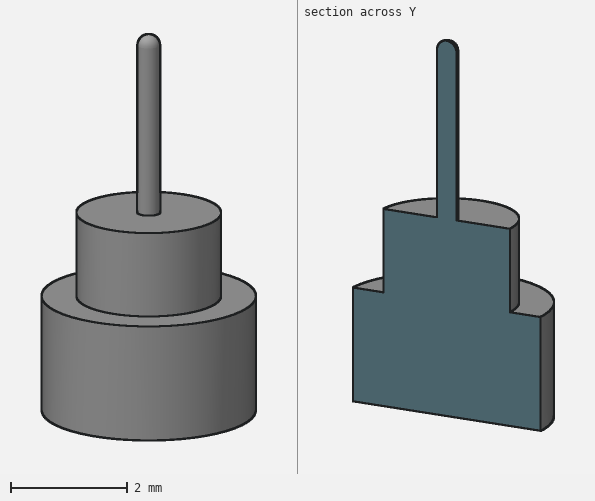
import cadquery as cq

total_height = 6.75
base_diameter = 3.7
base_height = 2.05
collar_diameter = 2.5
collar_height = 1.5
pin_diameter = 0.4

pin_radius = pin_diameter / 2
collar_top = base_height + collar_height
pin_straight_length = total_height - collar_top - pin_radius


def cylinder(diameter, height, bottom):
    """Solid cylinder on the Z axis, standing at the given height."""
    return cq.Workplane("XY").workplane(offset=bottom).circle(diameter / 2).extrude(height)


base = cylinder(base_diameter, base_height, 0)
collar = cylinder(collar_diameter, collar_height, base_height)

pin_shank = cylinder(pin_diameter, pin_straight_length, collar_top)
pin_tip = cq.Workplane("XY").sphere(pin_radius).translate((0, 0, total_height - pin_radius))
pin = pin_shank.union(pin_tip)

result = base.union(collar).union(pin)